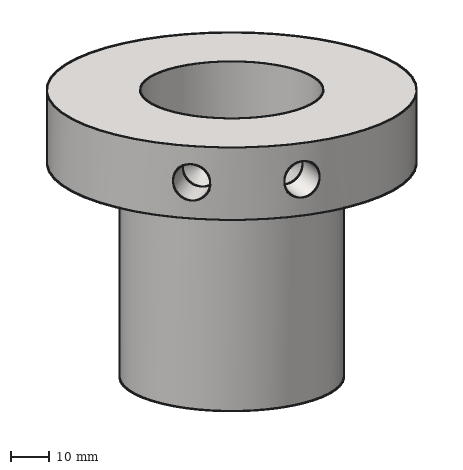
import cadquery as cq
import math

flange_diameter = 97.0
flange_thickness = 20.0
sleeve_diameter = 59.0
sleeve_length = 59.0
bore_diameter = 48.0

hole_diameter = 10.0
hole_depth = 12.0
drill_tip_angle = 118.0
hole_angles = [-80.0, -45.0]


def make_ring(outer_diameter, height, base_z):
    """Hollow cylinder around Z, with the common bore through it."""
    return (
        cq.Workplane("XY", origin=(0, 0, base_z))
        .circle(outer_diameter / 2)
        .circle(bore_diameter / 2)
        .extrude(height)
    )


def make_drill(angle):
    """Cylinder with a conical tip, pointing at the Z axis at mid flange."""
    hole_radius = hole_diameter / 2
    wall_end = flange_diameter / 2 - hole_depth
    tip_length = hole_radius / math.tan(math.radians(drill_tip_angle / 2))
    outer_end = flange_diameter / 2 + hole_radius
    return (
        cq.Workplane("XZ")
        .moveTo(wall_end - tip_length, 0)
        .lineTo(wall_end, hole_radius)
        .lineTo(outer_end, hole_radius)
        .lineTo(outer_end, 0)
        .close()
        .revolve(360, (0, 0, 0), (1, 0, 0))
        .translate((0, 0, sleeve_length + flange_thickness / 2))
        .rotate((0, 0, 0), (0, 0, 1), angle)
    )


def make_flanged_sleeve():
    """Plain tube topped by a flange with radial rim holes, all one solid."""
    sleeve = make_ring(sleeve_diameter, sleeve_length, 0)
    flange = make_ring(flange_diameter, flange_thickness, sleeve_length)
    body = sleeve.union(flange)
    for angle in hole_angles:
        body = body.cut(make_drill(angle))
    return body


flanged_sleeve = make_flanged_sleeve()
result = cq.Compound.makeCompound([flanged_sleeve.solids().val()])